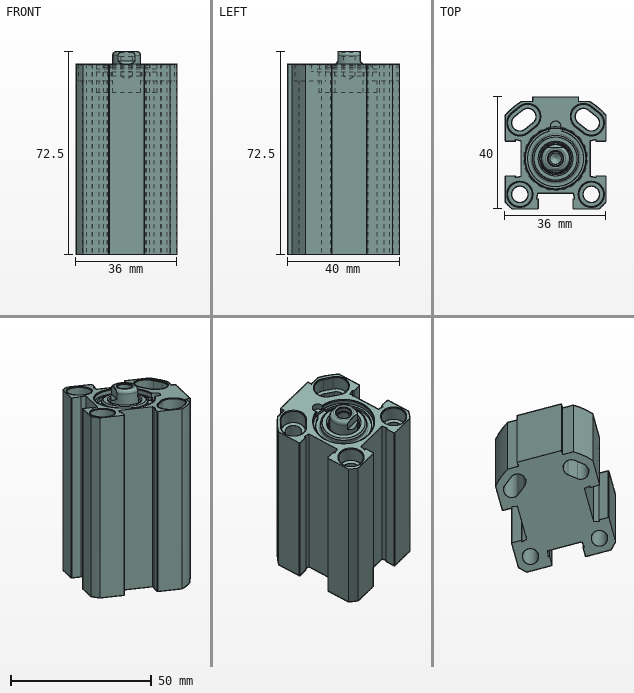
import cadquery as cq
import math


TOTAL_HEIGHT = 72.5
BODY_HEIGHT = 68.0

BODY_WIDTH = 36.0
BODY_DEPTH = 40.0
BODY_HALF_WIDTH = BODY_WIDTH / 2
CORNER_RADIUS = 23.8
SHOULDER_Y = 20.45
PAD_Y = BODY_DEPTH - BODY_HALF_WIDTH
PAD_HALF_WIDTH = 8.2

GROOVE_MOUTH_HALF = 6.15
GROOVE_MOUTH_CHAMFER = 0.2
GROOVE_LIP_AT = 14.35
GROOVE_FLOOR_AT = 12.4
GROOVE_LIP_HALF = 6.75
GROOVE_FLOOR_HALF = 6.3

MOUNT_OFFSET = 12.75
MOUNT_DIAMETER = 5.8
MOUNT_BORE_DIAMETER = 8.8
MOUNT_BORE_DEPTH = 6.0
MOUNT_CHAMFER = 0.3
CHAMFER_TAPER = -45.0
SLOT_TRAVEL_X = 2.8
SLOT_TRAVEL_Y = 2.25

BORE_DIAMETER = 21.6
BORE_CHAMFER = 0.3
RING_OUTER_DIAMETER = 22.8
RING_INNER_DIAMETER = 20.0
RING_THICKNESS = 1.0
RING_TOP = BODY_HEIGHT - 1.8
RING_GAP_HALF_ANGLE = 13.5
NOTCH_DIAMETER = 3.8
NOTCH_Y = 11.5
NOTCH_DEPTH = 2.6

FLANGE_TOP = RING_TOP - RING_THICKNESS
COLLAR_BOTTOM = FLANGE_TOP - 7.25
BOSS_DIAMETER = 16.5
BOSS_TOP = BODY_HEIGHT - 0.6
BOSS_CHAMFER = 0.6
BOSS_FILLET = 0.5
RECESS_DIAMETER = 11.4
RECESS_CHAMFER = 0.5
RECESS_DEPTH = 2.2
CLEARANCE_DIAMETER = 10.5
CLEARANCE_DEPTH = 3.6

ROD_DIAMETER = 10.0
ROD_ROUND = 1.4
FLAT_HALF_WIDTH = 4.0
FLAT_BOTTOM = BODY_HEIGHT + 1.0
FLAT_RUNOUT_ANGLE = 40.0
TAP_MOUTH_DIAMETER = 5.8
TAP_RELIEF_DIAMETER = 5.2
TAP_RELIEF_DEPTH = 1.8
TAP_DIAMETER = 4.1
TAP_DEPTH = 8.7
DRILL_POINT_ANGLE = 118.0


def cylinder(diameter, bottom, top):
    return cq.Workplane("XY").workplane(offset=bottom).circle(diameter / 2).extrude(top - bottom)


def cone(bottom_diameter, top_diameter, bottom, top):
    solid = cq.Solid.makeCone(
        bottom_diameter / 2, top_diameter / 2, top - bottom, cq.Vector(0, 0, bottom)
    )
    return cq.Workplane(obj=solid)


def groove_cutter():
    """Undercut groove along Z, open to -Y."""
    right_side = [
        (GROOVE_MOUTH_HALF + GROOVE_MOUTH_CHAMFER, -BODY_HALF_WIDTH),
        (GROOVE_MOUTH_HALF, -BODY_HALF_WIDTH + GROOVE_MOUTH_CHAMFER),
        (GROOVE_MOUTH_HALF, -GROOVE_LIP_AT),
        (GROOVE_LIP_HALF, -GROOVE_LIP_AT),
        (GROOVE_FLOOR_HALF, -GROOVE_FLOOR_AT),
    ]
    left_side = [(-x, y) for x, y in reversed(right_side)]
    return cq.Workplane("XY").polyline(right_side + left_side).close().extrude(BODY_HEIGHT)


def slot_prism(side, diameter, bottom, top, taper=0):
    """Slotted hole in the +Y corner on the given X side (-1 or 1)."""
    length = math.hypot(SLOT_TRAVEL_X, SLOT_TRAVEL_Y)
    angle = math.degrees(math.atan2(SLOT_TRAVEL_Y, -side * SLOT_TRAVEL_X))
    centre_x = side * (MOUNT_OFFSET - SLOT_TRAVEL_X / 2)
    centre_y = MOUNT_OFFSET + SLOT_TRAVEL_Y / 2
    return (
        cq.Workplane("XY")
        .workplane(offset=bottom)
        .center(centre_x, centre_y)
        .slot2D(length + diameter, diameter, angle)
        .extrude(top - bottom, taper=taper)
    )


def mount_slot(side):
    bore_bottom = BODY_HEIGHT - MOUNT_BORE_DEPTH
    chamfer_bottom = BODY_HEIGHT - MOUNT_CHAMFER
    through = slot_prism(side, MOUNT_DIAMETER, 0, BODY_HEIGHT)
    bore = slot_prism(side, MOUNT_BORE_DIAMETER, bore_bottom, BODY_HEIGHT)
    chamfer = slot_prism(side, MOUNT_BORE_DIAMETER, chamfer_bottom, BODY_HEIGHT, taper=CHAMFER_TAPER)
    return through.union(bore).union(chamfer)


def mount_hole(side):
    """Counterbored round hole in the -Y corner on the given X side (-1 or 1)."""
    through = cylinder(MOUNT_DIAMETER, 0, BODY_HEIGHT)
    bore = cylinder(MOUNT_BORE_DIAMETER, BODY_HEIGHT - MOUNT_BORE_DEPTH, BODY_HEIGHT)
    chamfer = cone(
        MOUNT_BORE_DIAMETER,
        MOUNT_BORE_DIAMETER + 2 * MOUNT_CHAMFER,
        BODY_HEIGHT - MOUNT_CHAMFER,
        BODY_HEIGHT,
    )
    cutter = through.union(bore).union(chamfer)
    return cutter.translate((side * MOUNT_OFFSET, -MOUNT_OFFSET, 0))


def housing_block():
    main_depth = BODY_HALF_WIDTH + SHOULDER_Y
    main = (
        cq.Workplane("XY")
        .center(0, (SHOULDER_Y - BODY_HALF_WIDTH) / 2)
        .rect(BODY_WIDTH, main_depth)
        .extrude(BODY_HEIGHT)
    )
    pad = (
        cq.Workplane("XY")
        .center(0, PAD_Y / 2)
        .rect(2 * PAD_HALF_WIDTH, PAD_Y)
        .extrude(BODY_HEIGHT)
    )
    return main.intersect(cylinder(2 * CORNER_RADIUS, 0, BODY_HEIGHT)).union(pad)


def make_housing():
    housing = housing_block()
    for angle in (-90, 0, 90):
        housing = housing.cut(groove_cutter().rotate((0, 0, 0), (0, 0, 1), angle))
    for side in (-1, 1):
        housing = housing.cut(mount_hole(side)).cut(mount_slot(side))
    bore = cylinder(BORE_DIAMETER, COLLAR_BOTTOM, BODY_HEIGHT)
    bore_chamfer = cone(
        BORE_DIAMETER, BORE_DIAMETER + 2 * BORE_CHAMFER, BODY_HEIGHT - BORE_CHAMFER, BODY_HEIGHT
    )
    ring_groove = cylinder(RING_OUTER_DIAMETER, FLANGE_TOP, RING_TOP)
    notch = cylinder(NOTCH_DIAMETER, BODY_HEIGHT - NOTCH_DEPTH, BODY_HEIGHT).translate((0, NOTCH_Y, 0))
    return housing.cut(bore).cut(bore_chamfer).cut(ring_groove).cut(notch)


def make_collar():
    """Flanged collar turned about the rod axis."""
    boss_radius = BOSS_DIAMETER / 2
    recess_radius = RECESS_DIAMETER / 2
    clearance_radius = CLEARANCE_DIAMETER / 2
    flange_radius = BORE_DIAMETER / 2
    guide_radius = ROD_DIAMETER / 2
    recess_floor = BOSS_TOP - RECESS_DEPTH
    clearance_floor = BOSS_TOP - CLEARANCE_DEPTH
    return (
        cq.Workplane("XZ")
        .moveTo(guide_radius, COLLAR_BOTTOM)
        .lineTo(flange_radius, COLLAR_BOTTOM)
        .lineTo(flange_radius, FLANGE_TOP)
        .lineTo(boss_radius + BOSS_FILLET, FLANGE_TOP)
        .radiusArc((boss_radius, FLANGE_TOP + BOSS_FILLET), BOSS_FILLET)
        .lineTo(boss_radius, BOSS_TOP - BOSS_CHAMFER)
        .lineTo(boss_radius - BOSS_CHAMFER, BOSS_TOP)
        .lineTo(recess_radius + RECESS_CHAMFER, BOSS_TOP)
        .lineTo(recess_radius, BOSS_TOP - RECESS_CHAMFER)
        .lineTo(recess_radius, recess_floor)
        .lineTo(clearance_radius, recess_floor)
        .lineTo(clearance_radius, clearance_floor)
        .lineTo(guide_radius, clearance_floor)
        .close()
        .revolve(360, (0, 0), (0, 1))
    )


def make_retaining_ring():
    ring = cylinder(RING_OUTER_DIAMETER, FLANGE_TOP, RING_TOP)
    ring = ring.cut(cylinder(RING_INNER_DIAMETER, FLANGE_TOP, RING_TOP))
    gap_half_width = RING_OUTER_DIAMETER * math.tan(math.radians(RING_GAP_HALF_ANGLE))
    gap = (
        cq.Workplane("XY")
        .workplane(offset=FLANGE_TOP)
        .polyline([
            (0, 0),
            (gap_half_width, RING_OUTER_DIAMETER),
            (-gap_half_width, RING_OUTER_DIAMETER),
        ])
        .close()
        .extrude(RING_THICKNESS)
    )
    return ring.cut(gap)


def flat_cutter():
    """Material outside the +Y wrench flat, with its sloping run-out."""
    radius = ROD_DIAMETER / 2
    runout = (radius - FLAT_HALF_WIDTH) / math.tan(math.radians(FLAT_RUNOUT_ANGLE))
    return (
        cq.Workplane("YZ")
        .polyline([
            (FLAT_HALF_WIDTH, TOTAL_HEIGHT),
            (FLAT_HALF_WIDTH, FLAT_BOTTOM),
            (radius, FLAT_BOTTOM - runout),
            (radius, TOTAL_HEIGHT),
        ])
        .close()
        .extrude(radius, both=True)
    )


def tapped_hole():
    mouth_chamfer = (TAP_MOUTH_DIAMETER - TAP_RELIEF_DIAMETER) / 2
    mouth = cone(
        TAP_RELIEF_DIAMETER, TAP_MOUTH_DIAMETER, TOTAL_HEIGHT - mouth_chamfer, TOTAL_HEIGHT
    )
    relief = cylinder(TAP_RELIEF_DIAMETER, TOTAL_HEIGHT - TAP_RELIEF_DEPTH, TOTAL_HEIGHT)
    hole_bottom = TOTAL_HEIGHT - TAP_DEPTH
    hole = cylinder(TAP_DIAMETER, hole_bottom, TOTAL_HEIGHT)
    point_height = TAP_DIAMETER / 2 / math.tan(math.radians(DRILL_POINT_ANGLE / 2))
    point = cone(0, TAP_DIAMETER, hole_bottom - point_height, hole_bottom)
    return hole.union(point).union(relief).union(mouth)


def make_rod():
    rod = cylinder(ROD_DIAMETER, COLLAR_BOTTOM, TOTAL_HEIGHT)
    rod = rod.faces(">Z").edges().fillet(ROD_ROUND)
    for angle in (0, 180):
        rod = rod.cut(flat_cutter().rotate((0, 0, 0), (0, 0, 1), angle))
    return rod.cut(tapped_hole())


housing = make_housing()
collar = make_collar()
retaining_ring = make_retaining_ring()
rod = make_rod()

result = cq.Compound.makeCompound([
    housing.solids().val(),
    collar.solids().val(),
    retaining_ring.solids().val(),
    rod.solids().val(),
])